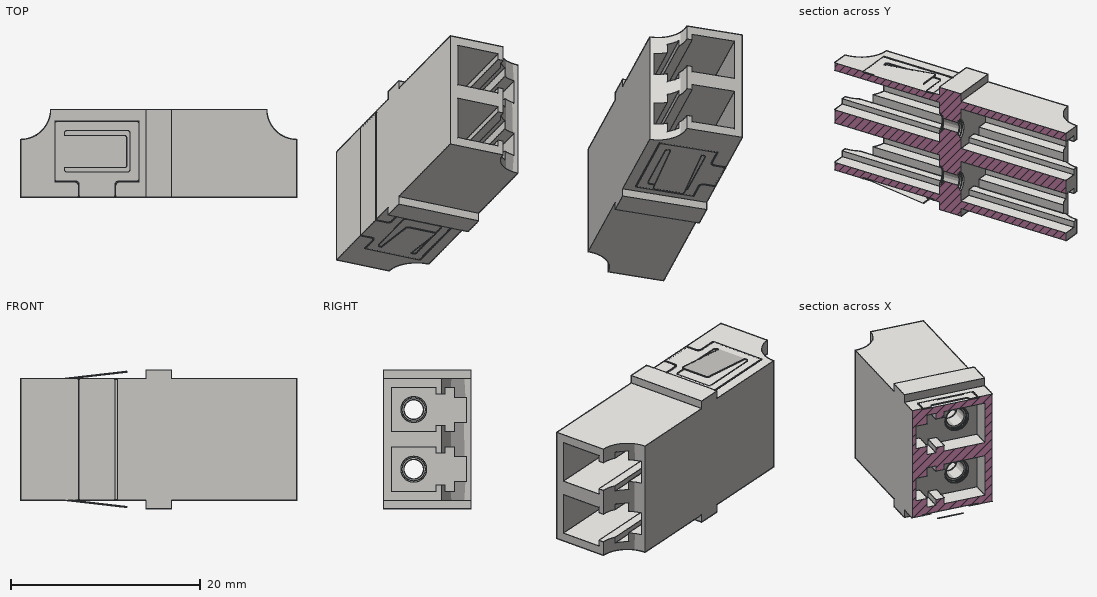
import cadquery as cq
import math

SIDES = (1, -1)

LENGTH = 29.2
WIDTH = 9.3
HEIGHT = 14.72
BODY_HEIGHT = 12.9
COLLAR_LENGTH = 2.75
SCOOP_RADIUS = 3.15

PORT_SIZE = 4.67
PORT_WALL = 0.88
PORT_PITCH = 6.3
RIB_WIDTH = 1.0
RIB_GAP = 3.35
LATCH_WIDTH = 0.95
KEY_WIDTH = 1.3
KEY_HEIGHT = 2.63
KEY_PITCH = 6.25
CENTER_WALL = COLLAR_LENGTH

BORE_RADIUS = 1.02
STEP_RADII = (1.37, 1.23)
STEP_DEPTH = 0.2

SHEET = 0.12
GAP = 0.1
PLATE_X = (-10.98, -2.1)
PLATE_Y = (-2.92, 3.35)
NECK_X = (-8.4, -4.65)
NECK_FILLET = 0.45
CORNER_RADIUS = 0.18
SIDE_GAP = 0.25
WINDOW_X = (-10.0, -3.05)
WINDOW_Y = (-2.0, 2.42)
WINDOW_RADIUS = 0.3
TAB_Y = (-1.52, 1.9)
TAB_REACH = 6.6
TAB_RISE = 0.75
TAB_RADIUS = 0.25

TOP_Z = BODY_HEIGHT / 2
FRONT_Y = -WIDTH / 2


def block(x, y, z):
    """Box between the given (low, high) limits."""
    size = (x[1] - x[0], y[1] - y[0], z[1] - z[0])
    return cq.Workplane("XY").box(*size, centered=False).translate((x[0], y[0], z[0]))


def mirrored_below(upper):
    """The same shape on the bottom side."""
    return upper.mirror("XY")


def port_cutter(side):
    """Port, latch opening and keyway of the upper or lower row, along +X."""
    depth = (LENGTH - CENTER_WALL) / 2
    port_y = FRONT_Y + PORT_WALL
    rib_y = port_y + PORT_SIZE
    latch_y = rib_y + RIB_WIDTH
    key_y = latch_y + LATCH_WIDTH
    port_z = side * PORT_PITCH / 2
    key_z = side * KEY_PITCH / 2

    def segment(y_start, y_length, z_center, height):
        return block(
            (0, depth),
            (y_start, y_start + y_length),
            (z_center - height / 2, z_center + height / 2),
        )

    cutter = segment(port_y, PORT_SIZE, port_z, PORT_SIZE)
    cutter = cutter.union(segment(rib_y, RIB_WIDTH, key_z, RIB_GAP))
    cutter = cutter.union(segment(latch_y, LATCH_WIDTH, port_z, PORT_SIZE))
    return cutter.union(segment(key_y, KEY_WIDTH, key_z, KEY_HEIGHT))


def bore_cutter(side):
    """Through bore with two shallow steps at each face of the centre wall."""
    center = (FRONT_Y + PORT_WALL + PORT_SIZE / 2, side * PORT_PITCH / 2)

    def cylinder(radius, length):
        return cq.Workplane("YZ").center(*center).circle(radius).extrude(length / 2, both=True)

    cutter = cylinder(BORE_RADIUS, CENTER_WALL)
    for step, radius in enumerate(STEP_RADII):
        wall_cut = cylinder(radius, CENTER_WALL)
        core = cylinder(radius, CENTER_WALL - 2 * (step + 1) * STEP_DEPTH)
        cutter = cutter.union(wall_cut.cut(core))
    return cutter


def plate_outline(gap, z_low, z_high):
    """T-shaped plate and neck, grown by gap except at the plate's X edges, which meet the recess."""
    plate = block(PLATE_X, (PLATE_Y[0] - gap, PLATE_Y[1] + gap), (z_low, z_high))
    neck_x = (NECK_X[0] - gap, NECK_X[1] + gap)
    neck_y = (FRONT_Y, PLATE_Y[0] - gap)
    neck = block(neck_x, neck_y, (z_low, z_high))
    inner_corners = cq.selectors.BoxSelector(
        (neck_x[0] - SHEET, neck_y[1] - SHEET, z_low - SHEET),
        (neck_x[1] + SHEET, neck_y[1] + SHEET, z_high + SHEET),
    )
    return plate.union(neck).edges("|Z").edges(inner_corners).fillet(NECK_FILLET)


def recess_cutter():
    """Shallow recess for the clip on the top, -Y and bottom sides."""
    top = plate_outline(GAP, TOP_Z - SHEET, TOP_Z)
    front = block(
        (NECK_X[0] - GAP, NECK_X[1] + SIDE_GAP),
        (FRONT_Y, FRONT_Y + SHEET),
        (SHEET - TOP_Z, TOP_Z - SHEET),
    )
    return front.union(top).union(mirrored_below(top))


def make_housing():
    body = cq.Workplane("XY").box(LENGTH, WIDTH, BODY_HEIGHT)
    body = body.union(cq.Workplane("XY").box(COLLAR_LENGTH, WIDTH, HEIGHT))
    scoops = (
        cq.Workplane("XY", origin=(0, 0, -TOP_Z))
        .pushPoints([(end * LENGTH / 2, WIDTH / 2) for end in SIDES])
        .circle(SCOOP_RADIUS)
        .extrude(BODY_HEIGHT)
    )
    body = body.cut(scoops)
    for side in SIDES:
        port = port_cutter(side)
        body = body.cut(port.translate((CENTER_WALL / 2, 0, 0)))
        body = body.cut(port.translate((-LENGTH / 2, 0, 0)))
        body = body.cut(bore_cutter(side))
    return body.cut(recess_cutter())


def make_tab():
    """Spring tab bent outward from the window's -X edge."""
    slope = math.atan2(TAB_RISE, TAB_REACH)
    bend_x = WINDOW_X[0]
    inner_x = SHEET * math.sin(slope)
    inner_z = SHEET * math.cos(slope)
    profile = [
        (bend_x, TOP_Z),
        (bend_x + TAB_REACH, TOP_Z + TAB_RISE),
        (bend_x + TAB_REACH + inner_x, TOP_Z + TAB_RISE - inner_z),
        (bend_x + inner_x, TOP_Z - inner_z),
        (bend_x, TOP_Z - SHEET),
    ]
    tab = cq.Workplane("XZ", origin=(0, TAB_Y[1], 0)).polyline(profile).close()
    tab = tab.extrude(TAB_Y[1] - TAB_Y[0])
    return tab.faces(">X").edges("not |Y").fillet(TAB_RADIUS)


def make_clip():
    window = block(WINDOW_X, WINDOW_Y, (TOP_Z - SHEET, TOP_Z)).edges("|Z").fillet(WINDOW_RADIUS)
    plate = plate_outline(0, TOP_Z - SHEET, TOP_Z)
    for end in ("<X", ">X"):
        plate = plate.faces(end).edges("|Z").fillet(CORNER_RADIUS)
    plate = plate.cut(window).union(make_tab())
    front = block(NECK_X, (FRONT_Y, FRONT_Y + SHEET), (-TOP_Z, TOP_Z))
    return front.union(plate).union(mirrored_below(plate))


housing = make_housing()
clip = make_clip()
result = cq.Compound.makeCompound([housing.val(), clip.val()])